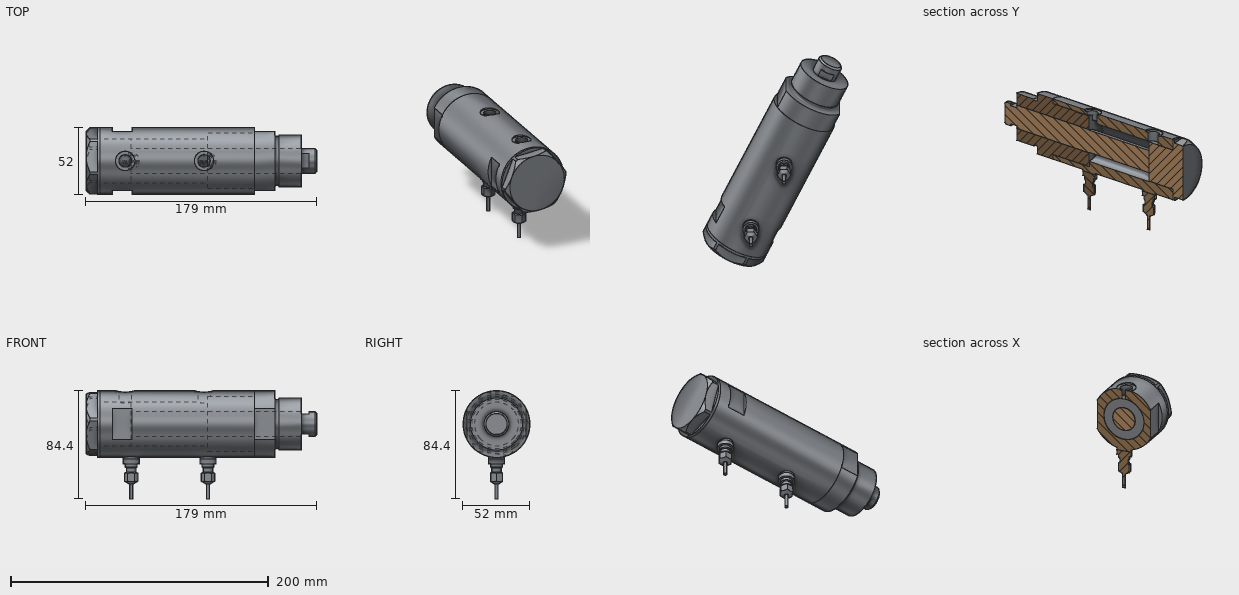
import cadquery as cq
import math

TOTAL_LENGTH = 179.0
BODY_RADIUS = 26.0
WRENCH_FLATS = 46.0

HEX_LENGTH = 8.6
FLANGE_LENGTH = 2.1
CAP_SPIGOT_END = 34.7
HEX_TURN = -8.0

HOUSING_START = HEX_LENGTH + FLANGE_LENGTH
HOUSING_END = 130.7
BORE_RADIUS = 17.0
GLAND_SEAT_RADIUS = 21.5
FLAT_START = 20.4
FLAT_LENGTH = 15.2

PORT_POSITIONS = (30.3, 91.5)
PORT_RADIUS = 4.8
SPOTFACE_RADIUS = 7.5
SPOTFACE_LEVEL = 24.7

SENSOR_POSITIONS = (34.9, 94.5)
SENSOR_RADIUS = 6.3
BOSS_BOTTOM = -27.2
SENSOR_BOTTOM = -58.4
CONE_SLOPE = math.tan(math.radians(30))

GLAND_NOSE = 94.3
GLAND_SHOULDER = 146.5
COLLAR_START = 149.7
COLLAR_END = 167.0
COLLAR_RADIUS = 20.2
UNDERCUT_DEPTH = 1.0

ROD_RADIUS = 9.7
ROD_CHAMFER = 1.5
ROD_FLATS = 15.8
ROD_FLAT_LENGTH = 5.9


def cylinder_x(start, end, radius):
    """Solid cylinder on the X axis between two X positions."""
    return cq.Workplane("YZ", origin=(start, 0, 0)).circle(radius).extrude(end - start)


def box_x(start, end, width, height):
    """Box centred on the X axis between two X positions."""
    return cq.Workplane("YZ", origin=(start, 0, 0)).rect(width, height).extrude(end - start)


def cylinder_z(x, bottom, top, radius):
    """Vertical cylinder at a position along the X axis."""
    return cq.Workplane("XY", origin=(x, 0, bottom)).circle(radius).extrude(top - bottom)


def across_corners(across_flats):
    """Corner-to-corner size of a regular hexagon."""
    return across_flats / math.cos(math.radians(30))


def make_cap():
    """Screw cap: chamfered hexagon, thin flange and a spigot that plugs the bore."""
    hexagon = (
        cq.Workplane("YZ")
        .polygon(6, across_corners(WRENCH_FLATS))
        .extrude(HEX_LENGTH)
        .rotate((0, 0, 0), (1, 0, 0), HEX_TURN)
    )
    corner_chamfer = BODY_RADIUS - WRENCH_FLATS / 2
    blank = cylinder_x(0, HEX_LENGTH, BODY_RADIUS).faces("<X").chamfer(corner_chamfer)
    flange = cylinder_x(HEX_LENGTH, HOUSING_START, BODY_RADIUS)
    spigot = cylinder_x(HOUSING_START, CAP_SPIGOT_END, BORE_RADIUS)
    return hexagon.intersect(blank).union(flange).union(spigot)


def make_housing():
    """Cylinder barrel with sensor bosses, stepped bore, side flats and two oil ports."""
    housing = cylinder_x(HOUSING_START, HOUSING_END, BODY_RADIUS)
    for x in SENSOR_POSITIONS:
        housing = housing.union(cylinder_z(x, BOSS_BOTTOM, -GLAND_SEAT_RADIUS, SENSOR_RADIUS))

    housing = housing.cut(cylinder_x(HOUSING_START, HOUSING_END, BORE_RADIUS))
    housing = housing.cut(cylinder_x(GLAND_NOSE, HOUSING_END, GLAND_SEAT_RADIUS))

    flat_end = FLAT_START + FLAT_LENGTH
    between_flats = box_x(FLAT_START, flat_end, WRENCH_FLATS, 2 * BODY_RADIUS)
    outside_flats = box_x(FLAT_START, flat_end, 2 * BODY_RADIUS, 2 * BODY_RADIUS).cut(between_flats)
    housing = housing.cut(outside_flats)

    for x in PORT_POSITIONS:
        housing = housing.cut(cylinder_z(x, 0, BODY_RADIUS, PORT_RADIUS))
        housing = housing.cut(cylinder_z(x, SPOTFACE_LEVEL, BODY_RADIUS, SPOTFACE_RADIUS))
    return housing


def make_gland():
    """Rod gland: plug inside the housing, flatted head, undercut and mounting collar."""
    plug = cylinder_x(GLAND_NOSE, HOUSING_END, GLAND_SEAT_RADIUS)
    head = cylinder_x(HOUSING_END, GLAND_SHOULDER, BODY_RADIUS).intersect(
        box_x(HOUSING_END, GLAND_SHOULDER, WRENCH_FLATS, 2 * BODY_RADIUS)
    )
    neck_radius = COLLAR_RADIUS - UNDERCUT_DEPTH
    fillet_bulge = UNDERCUT_DEPTH * math.sqrt(0.5)
    neck_and_collar = (
        cq.Workplane("XY")
        .moveTo(GLAND_SHOULDER, 0)
        .lineTo(GLAND_SHOULDER, COLLAR_RADIUS)
        .threePointArc(
            (GLAND_SHOULDER + UNDERCUT_DEPTH - fillet_bulge, COLLAR_RADIUS - fillet_bulge),
            (GLAND_SHOULDER + UNDERCUT_DEPTH, neck_radius),
        )
        .lineTo(COLLAR_START - UNDERCUT_DEPTH, neck_radius)
        .threePointArc(
            (COLLAR_START - UNDERCUT_DEPTH + fillet_bulge, COLLAR_RADIUS - fillet_bulge),
            (COLLAR_START, COLLAR_RADIUS),
        )
        .lineTo(COLLAR_END, COLLAR_RADIUS)
        .lineTo(COLLAR_END, 0)
        .close()
        .revolve(360, (0, 0, 0), (1, 0, 0))
    )
    rod_bore = cylinder_x(GLAND_NOSE, COLLAR_END, ROD_RADIUS)
    return plug.union(head).union(neck_and_collar).cut(rod_bore)


def make_rod():
    """Piston rod with a chamfered end and two flats beside the collar."""
    rod = cylinder_x(CAP_SPIGOT_END, TOTAL_LENGTH, ROD_RADIUS).faces(">X").chamfer(ROD_CHAMFER)
    flat_end = COLLAR_END + ROD_FLAT_LENGTH
    between_flats = box_x(COLLAR_END, flat_end, 2 * ROD_RADIUS, ROD_FLATS)
    outside_flats = box_x(COLLAR_END, flat_end, 2 * ROD_RADIUS, 2 * ROD_RADIUS).cut(between_flats)
    return rod.cut(outside_flats)


def make_nut(x, top, top_radius):
    """Hexagon nut of a sensor, with two corners along X and both ends turned to cones."""
    bottom = -46.4
    bottom_radius = 1.8
    flats = 9.3
    corner_radius = across_corners(flats) / 2

    hexagon = cq.Workplane("XY", origin=(x, 0, bottom)).polygon(6, 2 * corner_radius).extrude(top - bottom)
    envelope = (
        cq.Workplane("XZ", origin=(x, 0, 0))
        .moveTo(0, bottom)
        .lineTo(bottom_radius, bottom)
        .lineTo(corner_radius, bottom + (corner_radius - bottom_radius) * CONE_SLOPE)
        .lineTo(corner_radius, top - (corner_radius - top_radius) * CONE_SLOPE)
        .lineTo(top_radius, top)
        .lineTo(0, top)
        .close()
        .revolve(360, (0, 0, 0), (0, 1, 0))
    )
    return hexagon.intersect(envelope)


def make_sensor(x):
    """Position sensor: stepped round head and neck, hexagon nut and cable."""
    head_bottom = -31.0
    ring_bottom = -33.5
    ring_radius = 4.7
    neck_radius = 3.8
    neck_bottom = -37.5
    cable_radius = 1.3

    body = (
        cq.Workplane("XZ", origin=(x, 0, 0))
        .moveTo(0, BOSS_BOTTOM)
        .lineTo(SENSOR_RADIUS, BOSS_BOTTOM)
        .lineTo(SENSOR_RADIUS, head_bottom)
        .lineTo(ring_radius, head_bottom)
        .lineTo(ring_radius, ring_bottom)
        .lineTo(neck_radius, ring_bottom - (ring_radius - neck_radius) * CONE_SLOPE)
        .lineTo(neck_radius, neck_bottom)
        .lineTo(0, neck_bottom)
        .close()
        .revolve(360, (0, 0, 0), (0, 1, 0))
    )
    nut = make_nut(x, neck_bottom, neck_radius)
    cable = cylinder_z(x, SENSOR_BOTTOM, neck_bottom, cable_radius)
    return body.union(nut).union(cable)


cap = make_cap()
housing = make_housing()
gland = make_gland()
rod = make_rod()
sensors = [make_sensor(x) for x in SENSOR_POSITIONS]

result = cq.Compound.makeCompound(
    [cap.val(), housing.val(), gland.val(), rod.val(), *[sensor.val() for sensor in sensors]]
)